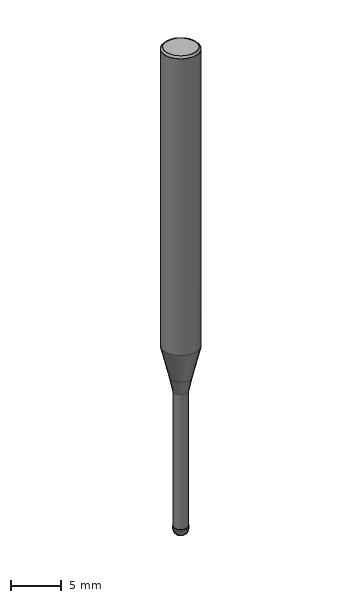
import cadquery as cq
import math

total_length = 55.0
shank_diameter = 4.0
cutter_diameter = 1.6
neck_diameter = 1.55
cone_break_diameter = 2.25

cutter_top = 1.0
neck_top = 16.2
cone_break = 17.8
shank_bottom = 21.35

shank_radius = shank_diameter / 2
cutter_radius = cutter_diameter / 2
neck_radius = neck_diameter / 2
cone_break_radius = cone_break_diameter / 2

chamfer = 0.2


def revolve_about_axis(profile):
    """Turn a closed radius-height profile around the Z axis."""
    return profile.close().revolve(360, (0, 0, 0), (0, 1, 0))


def make_cutter():
    """Ball nose with a short cylindrical land above it."""
    arc_middle = cutter_radius * math.sqrt(0.5)
    profile = (
        cq.Workplane("XZ")
        .moveTo(0, 0)
        .threePointArc((arc_middle, cutter_radius - arc_middle), (cutter_radius, cutter_radius))
        .lineTo(cutter_radius, cutter_top)
        .lineTo(0, cutter_top)
    )
    return revolve_about_axis(profile)


def make_holder():
    """Slim neck, two-stage cone and shank with a chamfered upper end."""
    profile = (
        cq.Workplane("XZ")
        .moveTo(0, cutter_top)
        .lineTo(neck_radius, cutter_top)
        .lineTo(neck_radius, neck_top)
        .lineTo(cone_break_radius, cone_break)
        .lineTo(shank_radius, shank_bottom)
        .lineTo(shank_radius, total_length - chamfer)
        .lineTo(shank_radius - chamfer, total_length)
        .lineTo(0, total_length)
    )
    return revolve_about_axis(profile)


cutter = make_cutter()
holder = make_holder()

result = cq.Compound.makeCompound([cutter.val(), holder.val()])